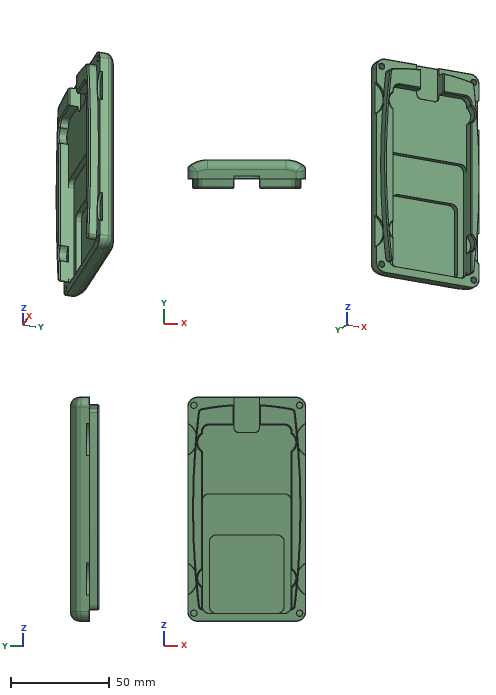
import cadquery as cq
import math

plate_width = 60.0
plate_length = 114.0
plate_thickness = 9.7
corner_radius = 5.0
crown_radius = 15.0
crown_width = 10.0
shoulder_radius = 2.5

rim_height = 14.7 - plate_thickness
rim_half_width = 27.6
rim_half_length = 53.4
rim_side_radius = 407.0
rim_end_radius = 117.4
rim_corner_radius = 2.0
rim_chamfer_width = 0.5
rim_chamfer_height = 0.9

recess_width = 45.1
recess_top = 42.9
recess_bottom = -53.0
recess_radius = 3.5
pocket_top = 7.9
inner_pocket_width = 38.1
inner_pocket_top = -13.1
pocket_step = 3.0
pocket_radius = 3.5

notch_radius = 5.5
notch_reach = 25.0
notch_heights = (34.0, -35.0)

slot_width = 13.0
slot_bottom = 39.0
slot_depth = 1.5
slot_corner_radius = 2.5

scallop_radius = 9.5
scallop_reach = 4.7
scallop_height = 35.6
scallop_depth = 1.5

hole_diameter = 3.2
hole_x = 26.9
hole_z = 52.9
hole_depth = 5.0

half_width = plate_width / 2
half_length = plate_length / 2
rim_bevel_angle = math.degrees(math.atan2(rim_chamfer_width, rim_chamfer_height))


def front_sketch(y):
    """Plane facing -Y at depth y: local x is X, local y is Z."""
    return cq.Workplane("XZ", origin=(0, y, 0))


def sunk_block(width, bottom, top, y_front, y_back, radius):
    """Block with rounded corners, from y_front back to y_back."""
    return (
        front_sketch(y_back)
        .center(0, (bottom + top) / 2)
        .rect(width, top - bottom)
        .extrude(y_back - y_front)
        .edges("|Y")
        .fillet(radius)
    )


def make_plate():
    cx = half_width - crown_width
    cy = plate_thickness - crown_radius
    sx = half_width - shoulder_radius
    gap = crown_radius - shoulder_radius
    sy = cy + math.sqrt(gap**2 - (sx - cx) ** 2)
    join_angle = math.atan2(sy - cy, sx - cx)

    def on_crown(angle):
        return (cx + crown_radius * math.cos(angle), cy + crown_radius * math.sin(angle))

    def on_shoulder(angle):
        return (sx + shoulder_radius * math.cos(angle), sy + shoulder_radius * math.sin(angle))

    def mirrored(p):
        return (-p[0], p[1])

    join = on_crown(join_angle)
    crown_middle = on_crown((join_angle + math.pi / 2) / 2)
    shoulder_middle = on_shoulder(join_angle / 2)
    section = (
        cq.Workplane("XY", origin=(0, 0, -half_length))
        .moveTo(-half_width, 0)
        .lineTo(half_width, 0)
        .lineTo(half_width, sy)
        .threePointArc(shoulder_middle, join)
        .threePointArc(crown_middle, (cx, plate_thickness))
        .lineTo(-cx, plate_thickness)
        .threePointArc(mirrored(crown_middle), mirrored(join))
        .threePointArc(mirrored(shoulder_middle), (-half_width, sy))
        .close()
    )
    return section.extrude(plate_length).faces("<Z or >Z").edges("not(<Y)").fillet(corner_radius)


def cut_scallops(body):
    centre_x = half_width - scallop_reach + scallop_radius
    points = [(sx * centre_x, sz * scallop_height) for sx in (-1, 1) for sz in (-1, 1)]
    return body.cut(front_sketch(scallop_depth).pushPoints(points).circle(scallop_radius).extrude(scallop_depth))


def add_flare(cutter):
    """Extend a cutter through the top of the rim, widening it so that it bevels the edge it cuts."""
    return cutter.faces("<Y").wires().toPending().extrude(rim_chamfer_height, taper=-rim_bevel_angle)


def make_rim():
    side_centre = rim_half_width - rim_side_radius
    end_centre = rim_half_length - rim_end_radius
    distance = math.hypot(side_centre, end_centre)
    along = (rim_side_radius**2 - rim_end_radius**2 + distance**2) / (2 * distance)
    across = math.sqrt(rim_side_radius**2 - along**2)
    ux, uz = -side_centre / distance, end_centre / distance
    corner_x = side_centre + along * ux - across * uz
    corner_z = along * uz + across * ux
    rim = (
        front_sketch(0)
        .moveTo(-corner_x, corner_z)
        .threePointArc((0, rim_half_length), (corner_x, corner_z))
        .threePointArc((rim_half_width, 0), (corner_x, -corner_z))
        .threePointArc((0, -rim_half_length), (-corner_x, -corner_z))
        .threePointArc((-rim_half_width, 0), (-corner_x, corner_z))
        .close()
        .extrude(rim_height)
        .edges("|Y")
        .fillet(rim_corner_radius)
        .faces("<Y")
        .chamfer(rim_chamfer_height, rim_chamfer_width)
    )
    body_height = rim_height - rim_chamfer_height
    recess_end = -half_length - recess_radius
    recess = sunk_block(recess_width, recess_end, recess_top, -body_height, 0, recess_radius)
    slot = front_sketch(0).center(0, (slot_bottom + half_length) / 2)
    slot = slot.rect(slot_width, half_length - slot_bottom).extrude(body_height)
    rim = rim.cut(add_flare(recess))
    rim = rim.cut(add_flare(slot))
    for side in (-1, 1):
        for z in notch_heights:
            notch = front_sketch(0).center(side * (notch_reach - notch_radius), z)
            notch = notch.circle(notch_radius).extrude(body_height)
            rim = rim.cut(add_flare(notch))
    return rim


def cut_pockets(body):
    outer = sunk_block(recess_width, recess_bottom, pocket_top, 0, pocket_step, pocket_radius)
    inner = sunk_block(
        inner_pocket_width, recess_bottom, inner_pocket_top, pocket_step, 2 * pocket_step, pocket_radius
    )
    return body.cut(outer).cut(inner)


def cut_slot(body):
    slot = (
        front_sketch(slot_depth)
        .center(0, (slot_bottom + half_length) / 2)
        .rect(slot_width, half_length - slot_bottom)
        .extrude(slot_depth)
        .edges("|Y and <Z")
        .fillet(slot_corner_radius)
    )
    return body.cut(slot)


def cut_screw_holes(body):
    holes = (
        front_sketch(hole_depth)
        .rect(2 * hole_x, 2 * hole_z, forConstruction=True)
        .vertices()
        .circle(hole_diameter / 2)
        .extrude(hole_depth)
    )
    return body.cut(holes)


plate = cut_scallops(make_plate())
body = plate.union(make_rim())
result = cut_screw_holes(cut_slot(cut_pockets(body)))